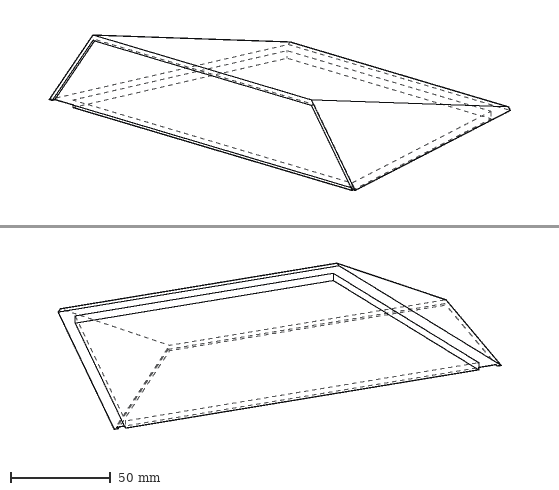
import cadquery as cq

base_width = 210.0
top_width = 150.0
depth = 145.3
front_height = 41.2
back_height = 1.7
side_run_per_height = (base_width - top_width) / 2 / front_height

recess_depth = 1.9
rim_height = 3.0

foot_height = 4.0
foot_inset = 7.5


def width_at_base(height):
    """Bottom width of a cross-section whose sides lean in to the top width."""
    return top_width + 2 * side_run_per_height * height


def trapezoid(height):
    """Corner points of a cross-section standing on z = 0."""
    half_base = width_at_base(height) / 2
    half_top = top_width / 2
    return [(-half_base, 0), (half_base, 0), (half_top, height), (-half_top, height)]


def make_wedge():
    return (
        cq.Workplane("XZ")
        .polyline(trapezoid(front_height)).close()
        .workplane(offset=-depth)
        .polyline(trapezoid(back_height)).close()
        .loft(ruled=True, combine=True)
    )


def make_recess():
    return (
        cq.Workplane("XZ")
        .polyline(trapezoid(front_height - rim_height)).close()
        .extrude(-recess_depth)
    )


def make_foot():
    half_front = base_width / 2
    half_back = width_at_base(back_height) / 2
    return (
        cq.Workplane("XY")
        .polyline([(-half_front, 0), (half_front, 0), (half_back, depth), (-half_back, depth)])
        .close()
        .offset2D(-foot_inset)
        .extrude(-foot_height)
    )


result = make_wedge().cut(make_recess()).union(make_foot())